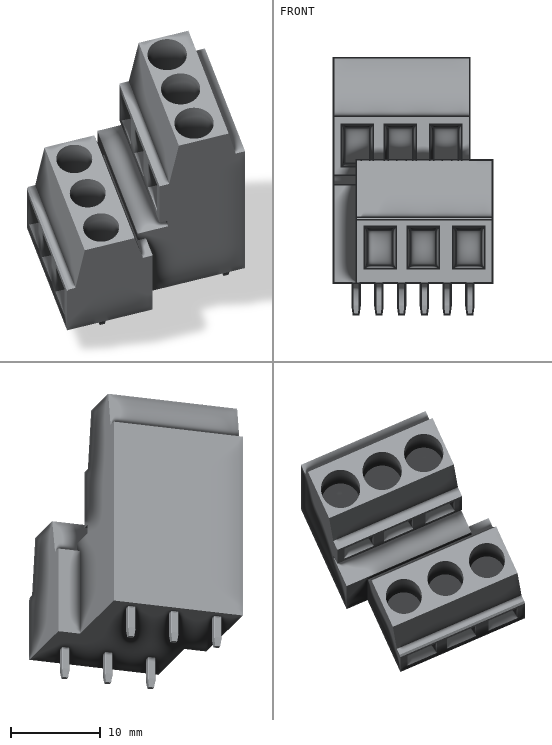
import cadquery as cq

pole_count = 3
pole_pitch = 5.08
block_width = pole_count * pole_pitch
row_shift = 2.55
total_depth = 21.6

high_top = 25.2
high_back_ledge_z = 21.25
high_front_ledge_z = 18.65
high_slope_back = 1.12
high_top_back = 1.92
high_top_front = 7.75
high_slope_foot = 8.9
high_front = 10.02
notch_top = 12.05
notch_bottom = 11.02
notch_back = 9.0
step_front = 12.57

low_back = 11.6
low_top = 13.78
low_back_ledge_z = 9.82
low_front_ledge_z = 7.35
low_slope_back = 12.75
low_top_back = 13.72
low_top_front = 19.55
low_slope_foot = 20.64
low_edge_chamfer = 0.23

high_hole_diameter = 4.4
low_hole_diameter = 4.02
high_hole_y = 5.2
low_hole_y = 16.85

window_width = 3.55
window_height = 4.74
window_margin = 0.9
middle_window_x = 5.7
window_inset = 0.4
window_depth = 2.15
high_window_z = 13.03
low_window_z = 1.6

pin_width = 0.9
pin_edge_chamfer = 0.1
pin_length = 3.5
pin_tip_length = 1.0
pin_tip_width = 0.6
high_pin_y = 1.55
low_pin_y = 16.82


def block(profile, left_x):
    """Extrude a (distance from back, height) outline across the block width."""
    points = [(-y, z) for y, z in profile]
    return cq.Workplane("YZ").polyline(points).close().extrude(block_width).translate((left_x, 0, 0))


def high_block():
    """Rear tier with a notch under its window face and a step in front of it."""
    return block(
        [
            (0, 0),
            (0, high_back_ledge_z),
            (high_slope_back, high_back_ledge_z),
            (high_top_back, high_top),
            (high_top_front, high_top),
            (high_slope_foot, high_front_ledge_z),
            (high_front, high_front_ledge_z),
            (high_front, notch_top),
            (notch_back, notch_top),
            (notch_back, notch_bottom),
            (step_front, notch_bottom),
            (step_front, 0),
        ],
        0,
    )


def low_block():
    """Front tier with a small chamfer along its front ledge."""
    return block(
        [
            (low_back, 0),
            (low_back, low_back_ledge_z),
            (low_slope_back, low_back_ledge_z),
            (low_top_back, low_top),
            (low_top_front, low_top),
            (low_slope_foot, low_front_ledge_z),
            (total_depth - low_edge_chamfer, low_front_ledge_z),
            (total_depth, low_front_ledge_z - low_edge_chamfer),
            (total_depth, 0),
        ],
        row_shift,
    )


def pole_positions(left_x):
    """X of each pole centre in a tier that starts at left_x."""
    return [left_x + (i + 0.5) * pole_pitch for i in range(pole_count)]


def screw_holes(left_x, y, diameter, top_z, bottom_z):
    """Blind round holes, one per pole, down from the top of a tier."""
    centres = [(x, -y) for x in pole_positions(left_x)]
    return (
        cq.Workplane("XY", origin=(0, 0, bottom_z))
        .pushPoints(centres)
        .circle(diameter / 2)
        .extrude(top_z - bottom_z)
    )


def window(left_x, front_y, bottom_z):
    """A rectangular funnel that narrows from the front face towards the back."""
    centre = (left_x + window_width / 2, -front_y, bottom_z + window_height / 2)
    return (
        cq.Workplane(cq.Plane(origin=centre, xDir=(-1, 0, 0), normal=(0, 1, 0)))
        .rect(window_width, window_height)
        .workplane(offset=window_depth)
        .rect(window_width - 2 * window_inset, window_height - 2 * window_inset)
        .loft(combine=True)
    )


def make_housing():
    """Both tiers joined, with screw holes down to the front ledges and wire windows."""
    last_window_x = block_width - window_margin - window_width
    body = high_block().union(low_block())
    body = body.cut(screw_holes(0, high_hole_y, high_hole_diameter, high_top, high_front_ledge_z))
    body = body.cut(screw_holes(row_shift, low_hole_y, low_hole_diameter, low_top, low_front_ledge_z))
    for window_x in (window_margin, middle_window_x, last_window_x):
        body = body.cut(window(window_x, high_front, high_window_z))
        body = body.cut(window(row_shift + window_x, total_depth, low_window_z))
    return body


def make_pin(x, y):
    """A square pin with a tapered tip; the corner chamfers run down it and fade out in the taper."""
    tip_start = pin_tip_length - pin_length
    shank = cq.Workplane("XY").rect(pin_width, pin_width).extrude(tip_start)
    tip = (
        cq.Workplane("XY", origin=(0, 0, tip_start))
        .rect(pin_width, pin_width)
        .workplane(offset=-pin_tip_length)
        .rect(pin_tip_width, pin_tip_width)
        .loft(combine=True)
    )
    chamfered_bar = (
        cq.Workplane("XY")
        .rect(pin_width, pin_width)
        .extrude(-pin_length)
        .edges("|Z")
        .chamfer(pin_edge_chamfer)
    )
    return shank.union(tip).intersect(chamfered_bar).translate((x, -y, 0))


housing = make_housing()
pins = [make_pin(x, high_pin_y) for x in pole_positions(0)]
pins += [make_pin(x, low_pin_y) for x in pole_positions(row_shift)]

result = cq.Compound.makeCompound([housing.val(), *[pin.val() for pin in pins]])